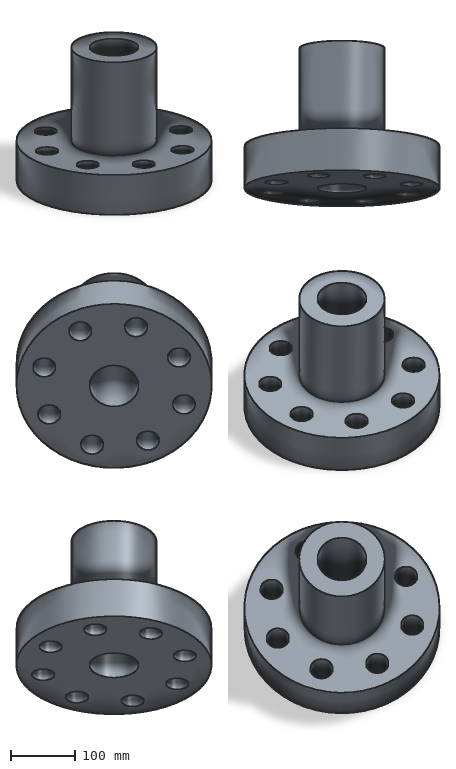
import cadquery as cq

flange_diameter = 304.8
flange_thickness = 66.675
overall_height = 222.25
hub_diameter = 133.35
bore_diameter = 76.2

bolt_count = 8
bolt_hole_diameter = 34.925
bolt_circle_diameter = 228.6


def flange_with_hub():
    """Round flange standing on Z = 0 with a cylindrical hub rising from it."""
    flange = cq.Workplane("XY").circle(flange_diameter / 2).extrude(flange_thickness)
    hub = cq.Workplane("XY").circle(hub_diameter / 2).extrude(overall_height)
    return flange.union(hub)


def bore():
    """Central passage through the full height."""
    return cq.Workplane("XY").circle(bore_diameter / 2).extrude(overall_height)


def bolt_holes():
    """Evenly spaced holes through the flange, the first one on +X."""
    return (
        cq.Workplane("XY")
        .polarArray(bolt_circle_diameter / 2, 0, 360, bolt_count)
        .circle(bolt_hole_diameter / 2)
        .extrude(flange_thickness)
    )


result = flange_with_hub().cut(bore()).cut(bolt_holes())